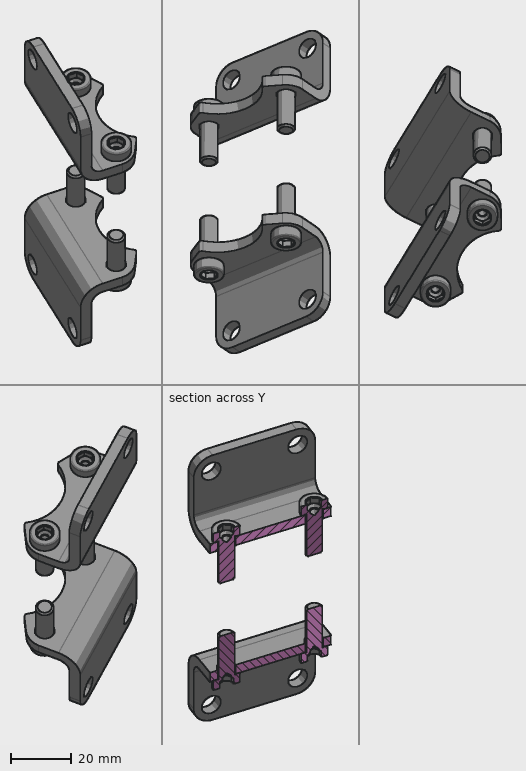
import cadquery as cq
import math

overall_height = 111.0

bracket_width = 45.0
thickness = 4.0
inner_bend_radius = 4.0
outer_bend_radius = inner_bend_radius + thickness
wall_height = 30.5
untrimmed_flange_depth = 27.8
corner_radius = 7.0

mount_hole_diameter = 7.0
mount_hole_spacing = 32.0
mount_hole_drop = 6.5

saddle_radius = 15.0
saddle_center_y = 32.1
shoulder_angle = 30.0
shoulder_corner_y = 19.2
tip_radius = 1.0

screw_spacing = 32.4
screw_y = 15.8
clearance_diameter = 6.5
shank_diameter = 6.0
shank_length = 18.0
shank_chamfer = 0.7
head_diameter = 10.0
head_height = 4.0
head_edge_radius = 0.4

hex_across_flats = 5.0
hex_diameter = hex_across_flats / math.cos(math.pi / 6)
hex_rotation = 30.0
hex_depth = 2.4
mouth_diameter = 6.0
mouth_angle = 30.0
pilot_diameter = 3.0
pilot_depth = 4.0
floor_angle = 45.0

half_width = bracket_width / 2
wall_top = overall_height / 2
flange_bottom = wall_top - wall_height
flange_top = flange_bottom + thickness


def make_bent_strip():
    """L-shaped strip with a round bend, its flange longer than the finished plan shape."""
    return (
        cq.Workplane("YZ")
        .moveTo(0, wall_top)
        .lineTo(0, flange_bottom + outer_bend_radius)
        .radiusArc((outer_bend_radius, flange_bottom), -outer_bend_radius)
        .lineTo(untrimmed_flange_depth, flange_bottom)
        .lineTo(untrimmed_flange_depth, flange_top)
        .lineTo(outer_bend_radius, flange_top)
        .radiusArc((thickness, flange_bottom + outer_bend_radius), inner_bend_radius)
        .lineTo(thickness, wall_top)
        .close()
        .extrude(half_width, both=True)
    )


def make_flange_plan():
    """Plan shape of the flange: sloped shoulders, round corners and the tube saddle."""
    apex_y = shoulder_corner_y + half_width * math.tan(math.radians(shoulder_angle))
    plan = (
        cq.Workplane("XY")
        .polyline([
            (-half_width, 0),
            (half_width, 0),
            (half_width, shoulder_corner_y),
            (0, apex_y),
            (-half_width, shoulder_corner_y),
        ])
        .close()
        .extrude(wall_top)
    )
    plan = plan.edges("|Z and (<X or >X)").edges(">Y").fillet(corner_radius)
    saddle = cq.Workplane("XY").center(0, saddle_center_y).circle(saddle_radius).extrude(wall_top)
    return plan.cut(saddle).edges("|Z").edges(">Y").fillet(tip_radius)


def make_bracket():
    """Upper bracket with its mounting holes and screw clearance holes."""
    bracket = make_bent_strip().edges("|Y and >Z").fillet(corner_radius)
    bracket = bracket.intersect(make_flange_plan())
    mount_holes = (
        cq.Workplane("XZ", origin=(0, 0, wall_top - mount_hole_drop))
        .rarray(mount_hole_spacing, 1.1, 2, 1)
        .circle(mount_hole_diameter / 2)
        .extrude(-thickness)
    )
    clearance_holes = (
        cq.Workplane("XY", origin=(0, screw_y, flange_bottom))
        .rarray(screw_spacing, 1.1, 2, 1)
        .circle(clearance_diameter / 2)
        .extrude(thickness)
    )
    return bracket.cut(mount_holes).cut(clearance_holes)


def make_cone(diameter, top, angle):
    """Downward pointing cone whose base lies at the given height, its side at an angle to the base."""
    radius = diameter / 2
    depth = radius * math.tan(math.radians(angle))
    return cq.Workplane(cq.Solid.makeCone(radius, 0, depth, cq.Vector(0, 0, top), cq.Vector(0, 0, -1)))


def make_drive_recess():
    """Hexagon recess and pilot hole, measured down from the top of the head."""
    hexagon_floor = head_height - hex_depth
    pilot_floor = head_height - pilot_depth
    hexagon = cq.Workplane("XY", origin=(0, 0, hexagon_floor)).polygon(6, hex_diameter).extrude(hex_depth)
    hexagon = hexagon.rotate((0, 0, 0), (0, 0, 1), hex_rotation)
    hexagon_cone = make_cone(hex_across_flats, hexagon_floor, floor_angle)
    pilot = cq.Workplane("XY", origin=(0, 0, pilot_floor)).circle(pilot_diameter / 2).extrude(pilot_depth)
    pilot_tip = make_cone(pilot_diameter, pilot_floor, floor_angle)
    mouth = make_cone(mouth_diameter, head_height, mouth_angle)
    return hexagon.union(mouth).union(hexagon_cone).union(pilot).union(pilot_tip)


def make_screw():
    """Socket head screw on the Z axis, with the underside of its head at Z = 0."""
    head = cq.Workplane("XY").circle(head_diameter / 2).extrude(head_height)
    head = head.edges().fillet(head_edge_radius)
    shank = cq.Workplane("XY").circle(shank_diameter / 2).extrude(-shank_length)
    shank = shank.faces("<Z").chamfer(shank_chamfer)
    return head.union(shank).cut(make_drive_recess())


upper_bracket = make_bracket()
brackets = [upper_bracket.solids().val(), upper_bracket.mirror("XY").solids().val()]

screw = make_screw()
screws = []
for side in (-1, 1):
    upper_screw = screw.translate((side * screw_spacing / 2, screw_y, flange_top))
    screws.append(upper_screw.solids().val())
    screws.append(upper_screw.mirror("XY").solids().val())

result = cq.Compound.makeCompound([*brackets, *screws])